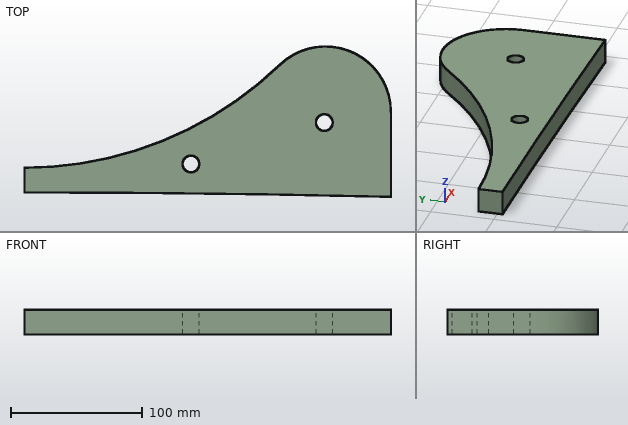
import cadquery as cq
import math

length = 279.5
width = 114.8
thickness = 19.0

tip_height = 19.0
base_drop = 3.4
head_radius = 50.0

hole_diameter = 12.5
hole_centers = [(126.8, 25.1), (228.5, 56.7)]

head_x = length - head_radius
head_y = width - head_radius

tip_top = base_drop + tip_height
head_rise = head_y - tip_top
sweep_radius = (head_x**2 + head_rise**2 - head_radius**2) / (2 * (head_radius + head_rise))
sweep_y = tip_top + sweep_radius
sweep_angle = math.atan2(head_x, sweep_y - head_y)

base_radius = (length**2 + base_drop**2) / (2 * base_drop)
base_half_angle = math.asin(length / base_radius) / 2


def sweep_point(angle):
    """Point on the concave sweep, with the angle measured from the tip."""
    return (sweep_radius * math.sin(angle), sweep_y - sweep_radius * math.cos(angle))


def base_point(angle):
    """Point on the base arc, with the angle measured from the tip."""
    return (base_radius * math.sin(angle), base_drop - base_radius * (1 - math.cos(angle)))


plate = (
    cq.Workplane("XY")
    .moveTo(0, base_drop)
    .threePointArc(base_point(base_half_angle), (length, 0))
    .lineTo(length, head_y)
    .threePointArc((head_x, width), sweep_point(sweep_angle))
    .threePointArc(sweep_point(sweep_angle / 2), (0, tip_top))
    .close()
    .extrude(thickness)
)

holes = (
    cq.Workplane("XY")
    .pushPoints(hole_centers)
    .circle(hole_diameter / 2)
    .extrude(thickness)
)

result = plate.cut(holes)